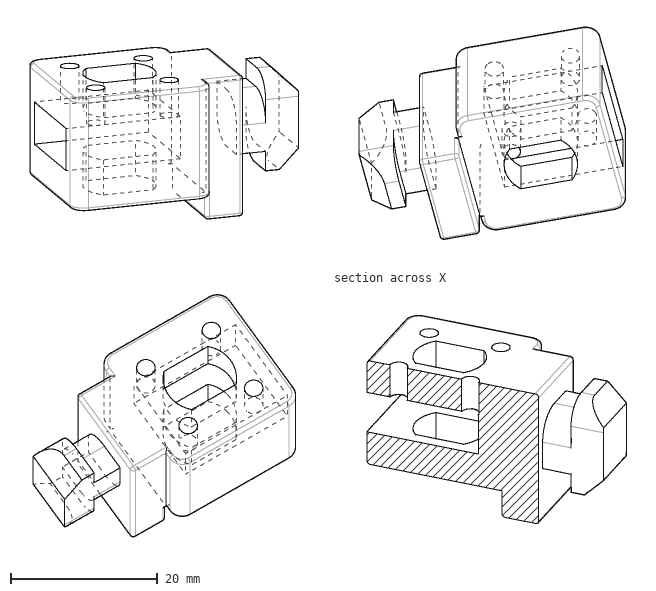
import cadquery as cq

BODY_SIDE = 20.0
BODY_HEIGHT = 16.0
CORNER_RADIUS = 2.0
EDGE_ROUND = 0.52

PLATE_WIDTH = 14.0
PLATE_THICKNESS = 5.5
PLATE_DROP = 4.0

NECK_LENGTH = 4.2
STUD_WIDTH = 8.0
NECK_HEIGHT = 8.1
NECK_RADIUS = 4.05
HEAD_THICKNESS = 4.8
HEAD_BEVEL = 2.8
HEAD_HEIGHT = NECK_HEIGHT + 2 * HEAD_BEVEL
HEAD_RADIUS = 3.52

BORE_DIAMETER = 10.0
BORE_FLATS = 7.0
SCREW_DIAMETER = 2.52
SCREW_SPACING = 10.63
SLOT_WIDTH = 13.0
SLOT_HEIGHT = 6.0
SLOT_SIDE_WALL = (BODY_SIDE - SLOT_WIDTH) / 2
SLOT_DEPTH = BODY_SIDE - SLOT_SIDE_WALL

BODY_FRONT = -BODY_SIDE / 2
BODY_BACK = BODY_SIDE / 2
PLATE_BACK = BODY_BACK + PLATE_THICKNESS
NECK_BACK = PLATE_BACK + NECK_LENGTH
STUD_BACK = NECK_BACK + HEAD_THICKNESS
MID_HEIGHT = BODY_HEIGHT / 2
ROOF_THICKNESS = (BODY_HEIGHT - SLOT_HEIGHT) / 2


def box(width, front, back, bottom, top):
    """Box centred on X, spanning the given Y and Z limits."""
    return (
        cq.Workplane("XY")
        .box(width, back - front, top - bottom, centered=(True, False, False))
        .translate((0, front, bottom))
    )


def housing():
    """Body and plate as one piece, with rounded corners and edges."""
    body = box(BODY_SIDE, BODY_FRONT, BODY_BACK, 0, BODY_HEIGHT)
    body = body.edges("|Z").fillet(CORNER_RADIUS)
    body = body.faces("<Z").edges().fillet(EDGE_ROUND)

    upper_plate = box(PLATE_WIDTH, BODY_BACK - CORNER_RADIUS, PLATE_BACK, 0, BODY_HEIGHT)
    upper_plate = upper_plate.faces(">Y").edges("|Z").fillet(EDGE_ROUND)
    lower_plate = box(PLATE_WIDTH, BODY_BACK, PLATE_BACK, -PLATE_DROP, 0)
    lower_plate = lower_plate.edges("|Z").fillet(EDGE_ROUND)
    lower_plate = lower_plate.faces("<Z").edges().fillet(EDGE_ROUND)

    joined = body.union(upper_plate).union(lower_plate)
    return joined.faces(">Z").edges().fillet(EDGE_ROUND)


def stud_bar(height, radius, front, back):
    """Bar along Y, STUD_WIDTH wide, with two opposite long edges rounded.

    The rounded edges are upper right (+X, +Z) and lower left (-X, -Z).
    """
    bottom = MID_HEIGHT - height / 2
    top = MID_HEIGHT + height / 2
    bar = box(STUD_WIDTH, front, back, bottom, top)
    bar = bar.edges(">X and >Z").fillet(radius)
    return bar.edges("<X and <Z").fillet(radius)


def head_envelope():
    """Side outline of the head, bevelled at 45 degrees above and below."""
    half_height = HEAD_HEIGHT / 2
    bevel_start = STUD_BACK - HEAD_BEVEL
    return (
        cq.Workplane("YZ")
        .polyline([
            (NECK_BACK, MID_HEIGHT - half_height),
            (bevel_start, MID_HEIGHT - half_height),
            (STUD_BACK, MID_HEIGHT - NECK_HEIGHT / 2),
            (STUD_BACK, MID_HEIGHT + NECK_HEIGHT / 2),
            (bevel_start, MID_HEIGHT + half_height),
            (NECK_BACK, MID_HEIGHT + half_height),
        ])
        .close()
        .extrude(STUD_WIDTH / 2, both=True)
    )


def stud():
    """Twist-lock stud: a neck carrying a taller bevelled head."""
    neck = stud_bar(NECK_HEIGHT, NECK_RADIUS, PLATE_BACK, NECK_BACK)
    head = stud_bar(HEAD_HEIGHT, HEAD_RADIUS, NECK_BACK, STUD_BACK)
    return neck.union(head.intersect(head_envelope()))


def bore():
    """Vertical through bore with flats on its left and right sides."""
    cylinder = cq.Workplane("XY").circle(BORE_DIAMETER / 2).extrude(BODY_HEIGHT)
    flats = box(BORE_FLATS, BODY_FRONT, BODY_BACK, 0, BODY_HEIGHT)
    return cylinder.intersect(flats)


def slot():
    """Rectangular pocket entering from the front at mid height, with equal side and back walls."""
    bottom = ROOF_THICKNESS
    return box(SLOT_WIDTH, BODY_FRONT, BODY_FRONT + SLOT_DEPTH, bottom, bottom + SLOT_HEIGHT)


def screw_holes():
    """Four holes around the bore, through the roof of the slot."""
    return (
        cq.Workplane("XY")
        .workplane(offset=BODY_HEIGHT - ROOF_THICKNESS)
        .rect(SCREW_SPACING, SCREW_SPACING, forConstruction=True)
        .vertices()
        .circle(SCREW_DIAMETER / 2)
        .extrude(ROOF_THICKNESS)
    )


result = housing().union(stud()).cut(bore()).cut(slot()).cut(screw_holes())